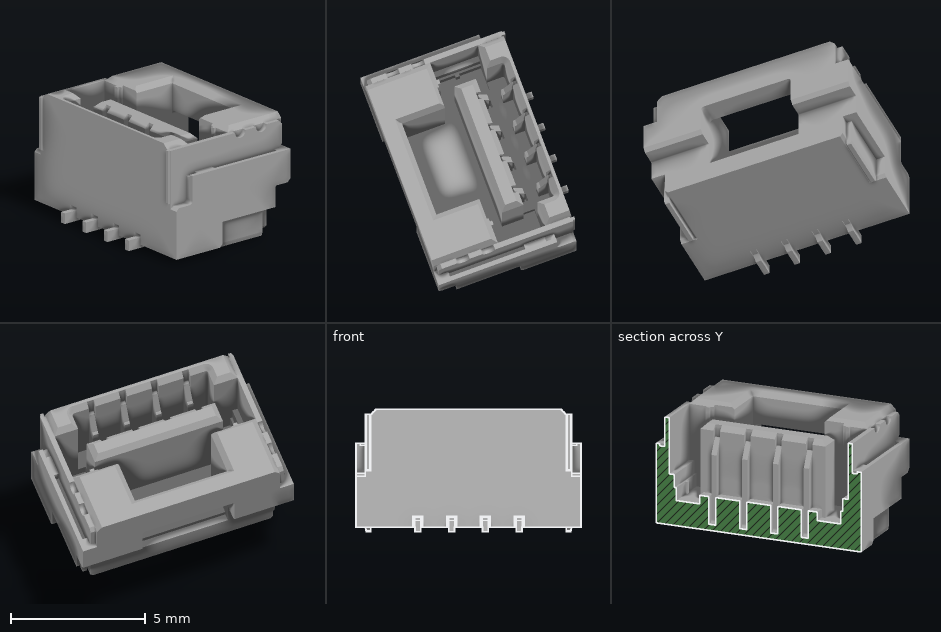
import cadquery as cq


width = 8.35
depth = 5.45
height = 4.39
edge_chamfer = 0.2
small_chamfer = 0.12

rear_foot_y = 4.74
overhang_z = 1.84
overhang_chamfer = 0.14
overhang_fillet = 0.05

half_width = width / 2
upper_half = 3.62
shoulder_z = 3.13

cavity_front_y = 1.0
cavity_rear_y = 2.905
floor_z = 1.0
side_steps = ((3.33, floor_z), (3.415, 1.5), (upper_half, 2.0))
window_half = 1.83
window_rear_y = 4.68
bridge_z = shoulder_z
bridge_fillet = 0.14
rear_step_y = 4.475
rear_step_depth = 0.17
front_cavity_half = 2.69
front_wall = 0.32
front_corner_radius = 0.09
contact_floor_z = 1.34
contact_floor_half = 2.4

face_recess_half = 2.63
face_recess = 0.075
guide_rib_x = 2.84
guide_rib_width = 0.16
guide_rib_height = 0.09
side_rib_y = 1.945

tongue_half = 2.54
tongue_front_y = 1.495
tongue_rear_y = 2.35
tongue_z = 3.99

contact_count = 4
pitch = 1.25
contact_width = 0.22
slot_width = 0.27
slot_front_y = 0.125
slot_front_end_y = 0.7
slot_rear_start_y = 1.11
slot_rear_end_y = 1.69
tail_slot_height = 0.36
tail_slot_bevel = 0.05
tail_end_y = -0.5
tail_bottom_z = -0.16
tail_top_z = 0.26

plate_outer = 3.825
plate_rear_y = 5.33
plate_top_z = 4.2
plate_chamfer = 0.14
plate_thickness = plate_outer - upper_half
notch_radius = 0.25
notch_centers_y = (3.34, 4.34)
lip_inset = 0.04
lip_length = 0.09
lip_bottom_z = 2.1
lip_gap_depth = 0.07

pocket_rear_y = 0.76
pocket_floor_z = 2.01
pocket_fillet = 0.13
relief_outer = 4.01
rear_relief = (1.96, 4.94, 0.33)
front_relief = (pocket_rear_y, 1.135, 0.08)

tab_window_front_y = 2.2
tab_window_z = 0.99
tab_rear_y = 4.39
tab_taper = 0.03


def block(x, y, z):
    """Box spanning the given (min, max) pairs."""
    return cq.Workplane("XY").box(
        x[1] - x[0], y[1] - y[0], z[1] - z[0], centered=False
    ).translate((x[0], y[0], z[0]))


def centered_block(half, y, z):
    return block((-half, half), y, z)


def side_profile(points, x_start, x_end):
    """Closed (Y, Z) outline extruded along X."""
    return cq.Workplane("YZ", origin=(x_start, 0, 0)).polyline(points).close().extrude(x_end - x_start)


def both_sides(shape):
    """Shape on the +X side together with its mirror image."""
    return shape.union(shape.mirror("YZ"))


def make_housing():
    housing = side_profile(
        [
            (0, 0),
            (rear_foot_y, 0),
            (rear_foot_y, overhang_z),
            (depth - overhang_chamfer, overhang_z),
            (depth, overhang_z + overhang_chamfer),
            (depth, height),
            (0, height),
        ],
        -half_width,
        half_width,
    )
    inner_corner = cq.selectors.NearestToPointSelector((0, rear_foot_y, overhang_z))
    housing = housing.edges(inner_corner).fillet(overhang_fillet)
    shoulder_cut = block((upper_half, half_width), (0, depth), (shoulder_z, height))
    return housing.cut(both_sides(shoulder_cut))


def cut_cavity(housing):
    for half, level in side_steps:
        housing = housing.cut(centered_block(half, (cavity_front_y, cavity_rear_y), (level, height)))
    housing = housing.cut(centered_block(window_half, (cavity_rear_y, window_rear_y), (floor_z, height)))
    rear_window = centered_block(window_half, (window_rear_y, depth), (floor_z, bridge_z))
    housing = housing.cut(rear_window.edges("|Y and >Z").fillet(bridge_fillet))
    housing = housing.cut(
        centered_block(window_half, (rear_step_y, rear_foot_y), (floor_z - rear_step_depth, floor_z))
    )
    front_cavity = centered_block(
        front_cavity_half, (front_wall, cavity_rear_y), (contact_floor_z, height)
    ).edges("|Z and <Y").fillet(front_corner_radius)
    housing = housing.cut(front_cavity)
    contact_floor = centered_block(
        contact_floor_half, (cavity_front_y, tongue_front_y), (floor_z, contact_floor_z)
    )
    return housing.union(contact_floor)


def chamfer_rim(housing):
    """Bevel every top edge except the outer front and rear ones."""
    return housing.faces(">Z").edges("not (<Y or >Y)").chamfer(edge_chamfer)


def add_guides(housing):
    housing = housing.cut(centered_block(
        face_recess_half, (cavity_rear_y, cavity_rear_y + face_recess), (floor_z, height)
    ))
    rear_rib = block(
        (guide_rib_x - guide_rib_width / 2, guide_rib_x + guide_rib_width / 2),
        (cavity_rear_y - guide_rib_height, cavity_rear_y),
        (floor_z, height - edge_chamfer),
    )
    lower_half, lower_level = side_steps[0]
    side_rib = block(
        (lower_half - guide_rib_height, lower_half),
        (side_rib_y - guide_rib_width / 2, side_rib_y + guide_rib_width / 2),
        (lower_level, side_steps[1][1]),
    )
    return housing.union(both_sides(rear_rib)).union(both_sides(side_rib))


def make_tongue():
    tongue = centered_block(tongue_half, (tongue_front_y, tongue_rear_y), (floor_z, tongue_z))
    return tongue.faces(">Z").edges().chamfer(edge_chamfer)


def cut_side_features(housing):
    pocket = block(
        (plate_outer, half_width), (0, pocket_rear_y), (pocket_floor_z, shoulder_z)
    ).edges(">Y and <Z").fillet(pocket_fillet)
    pocket_lead = side_profile(
        [(0, pocket_floor_z), (small_chamfer, pocket_floor_z), (0, pocket_floor_z - small_chamfer)],
        plate_outer,
        half_width,
    )
    housing = housing.cut(both_sides(pocket)).cut(both_sides(pocket_lead))
    for start_y, end_y, relief_depth in (rear_relief, front_relief):
        relief = block((plate_outer, relief_outer), (start_y, end_y), (shoulder_z - relief_depth, shoulder_z))
        housing = housing.cut(both_sides(relief))
    tab_window = block((upper_half, half_width), (tab_window_front_y, rear_foot_y), (0, tab_window_z))
    bevel_front_y = tab_window_front_y - small_chamfer
    wall_bevel = side_profile(
        [(bevel_front_y, 0), (tab_window_front_y, 0), (tab_window_front_y, small_chamfer)],
        upper_half,
        half_width,
    )
    foot_bevel = (
        cq.Workplane("XZ", origin=(0, bevel_front_y, 0))
        .polyline([(upper_half - small_chamfer, 0), (upper_half, 0), (upper_half, small_chamfer)])
        .close()
        .extrude(-(rear_foot_y - bevel_front_y))
    )
    return housing.cut(both_sides(tab_window)).cut(both_sides(wall_bevel)).cut(both_sides(foot_bevel))


def make_plate():
    """Side plate with two round notches in its top edge and a lip at the front."""
    plate = block((upper_half, plate_outer), (0, plate_rear_y), (shoulder_z, plate_top_z))
    plate = plate.edges("|X and >Y").chamfer(plate_chamfer)
    for center_y in notch_centers_y:
        notch = (
            cq.Workplane("YZ", origin=(upper_half, center_y, plate_top_z))
            .circle(notch_radius)
            .extrude(plate_thickness)
        )
        plate = plate.cut(notch)
    lip = block(
        (upper_half + lip_inset, plate_outer - lip_inset), (-lip_length, 0), (lip_bottom_z, plate_top_z)
    )
    lip = lip.edges("|X and <Y and <Z").chamfer(lip_inset)
    return plate.union(lip)


def make_lip_gap():
    """Narrow slit in the front face between the housing and a plate's lip."""
    return block((upper_half, upper_half + lip_inset), (0, lip_gap_depth), (lip_bottom_z, plate_top_z))


def make_tab():
    tab = (
        cq.Workplane("XZ", origin=(0, tab_window_front_y, 0))
        .polyline([
            (upper_half, tab_window_z),
            (plate_outer, tab_window_z),
            (plate_outer, 0),
            (plate_outer - tab_taper, tail_bottom_z),
            (upper_half, tail_bottom_z),
        ])
        .close()
        .extrude(-(tab_rear_y - tab_window_front_y))
    )
    return tab.edges("|X and <Z").chamfer(tab_taper)


def contact_slots(x):
    """Openings in the floor, front wall and tongue around one contact."""
    slot_x = (x - slot_width / 2, x + slot_width / 2)
    front_slot = block(slot_x, (slot_front_y, slot_front_end_y), (tail_top_z, height))
    rear_slot = block(slot_x, (slot_rear_start_y, slot_rear_end_y), (tail_top_z, height))
    tail_slot = block(slot_x, (0, slot_front_end_y), (0, tail_slot_height))
    mouth = (
        cq.Workplane("XZ", origin=(x, 0, 0))
        .rect(slot_width + 2 * tail_slot_bevel, 2 * (tail_slot_height + tail_slot_bevel))
        .extrude(-tail_slot_bevel, taper=45)
    )
    return front_slot.union(rear_slot).union(tail_slot).union(mouth)


def make_contact(x):
    """Solder tail, a base under the floor, and two spring arms that flare apart at their tips."""
    tail_slope_y = (0.22, 0.46)
    bend = 0.14
    rear_arm_y = slot_rear_start_y + bend
    arm_bend_z = 2.92
    rear_tip = (1.57, 3.52)
    rear_peak_y = 1.63
    shoulder_step = 0.09
    shoulder_drop = 0.06
    front_arm_y = slot_front_end_y - shoulder_step
    front_tip = (0.21, 3.67)
    tip_rise = 0.06
    x_start = x - contact_width / 2
    x_end = x + contact_width / 2
    tail = side_profile(
        [
            (tail_end_y, tail_bottom_z),
            (tail_slope_y[0], tail_bottom_z),
            (tail_slope_y[1], 0),
            (slot_rear_end_y, 0),
            (slot_rear_end_y, tail_top_z),
            (tail_end_y, tail_top_z),
        ],
        x_start,
        x_end,
    )
    arm_plane = cq.Workplane("YZ", origin=(x_start, 0, 0))
    rear_arm = (
        arm_plane.moveTo(slot_rear_start_y, tail_top_z)
        .radiusArc((rear_arm_y, tail_top_z + bend), -bend)
        .lineTo(rear_arm_y, arm_bend_z)
        .lineTo(*rear_tip)
        .lineTo(rear_peak_y, rear_tip[1])
        .lineTo(slot_rear_end_y, rear_tip[1] - tip_rise)
        .lineTo(slot_rear_end_y, tail_top_z)
        .close()
        .extrude(contact_width)
    )
    front_arm = side_profile(
        [
            (slot_front_y, tail_top_z),
            (slot_front_end_y, tail_top_z),
            (slot_front_end_y, arm_bend_z - shoulder_drop),
            (front_arm_y, arm_bend_z),
            (front_tip[0] + tip_rise, front_tip[1] - tip_rise),
            front_tip,
            (slot_front_y, front_tip[1] - tip_rise),
        ],
        x_start,
        x_end,
    )
    return tail.union(rear_arm).union(front_arm)


result = chamfer_rim(cut_cavity(make_housing()))
result = add_guides(result).union(make_tongue())
result = cut_side_features(result)

result = result.union(both_sides(make_plate())).union(both_sides(make_tab()))
result = result.cut(both_sides(make_lip_gap()))

for index in range(contact_count):
    contact_x = (index - (contact_count - 1) / 2) * pitch
    result = result.cut(contact_slots(contact_x)).union(make_contact(contact_x))